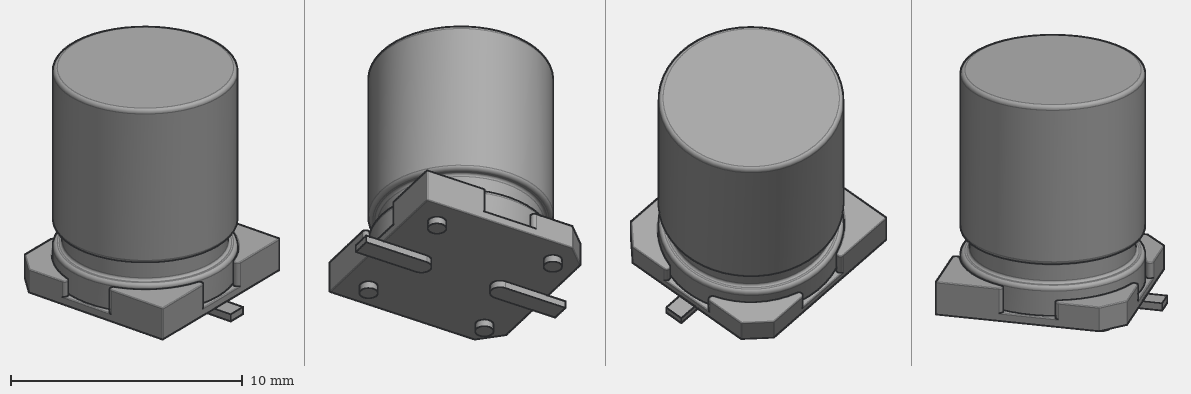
import cadquery as cq
import math

total_height = 10.6
lead_span = 10.0

base_width = 8.3
base_half = base_width / 2
base_bottom = 0.35
floor_height = 0.75
low_post_height = 1.5
high_post_height = 1.91
corner_cut = 1.0
post_bore_radius = 4.03
post_nose_radius = 0.17
base_edge_fillet = 0.04

can_radius = 8.0 / 2
groove_radius = 7.2 / 2
groove_bottom = 2.11
groove_top = 3.11
can_edge_fillet = 0.19
groove_corner_fillet = 0.13

lead_width = 0.88
lead_inner_end = 1.54
pin_diameter = 0.8
pin_offset = 2.9


def corner_post(side_x, side_y):
    """Post between the base corner and the can bore, with a round nose at each end."""
    nose_reach = post_bore_radius + post_nose_radius
    nose_across = base_half - post_nose_radius
    nose_along = math.sqrt(nose_reach**2 - nose_across**2)
    tangent_long = nose_across * post_bore_radius / nose_reach
    tangent_short = nose_along * post_bore_radius / nose_reach
    bore_mid = post_bore_radius * math.sqrt(0.5)

    tip_along = nose_along - post_nose_radius
    tip_across = nose_across

    def at(x, y):
        """Mirror a point of the +X +Y post into this post's quadrant."""
        return (side_x * x, side_y * y)

    bottom = (base_bottom + floor_height) / 2
    top = high_post_height if side_x > 0 else low_post_height
    post = (
        cq.Workplane("XY")
        .workplane(offset=bottom)
        .moveTo(*at(base_half, base_half))
        .lineTo(*at(nose_along, base_half))
        .threePointArc(at(tip_along, tip_across), at(tangent_short, tangent_long))
        .threePointArc(at(bore_mid, bore_mid), at(tangent_long, tangent_short))
        .threePointArc(at(tip_across, tip_along), at(base_half, nose_along))
        .close()
        .extrude(top - bottom)
    )
    box_inner = base_half - corner_cut - base_edge_fillet
    box_outer = base_half + base_edge_fillet
    corner_box = cq.selectors.BoxSelector(
        (*at(box_inner, box_inner), bottom),
        (*at(box_outer, box_outer), top),
    )
    if side_x < 0:
        post = post.edges("|Z").edges(corner_box).chamfer(corner_cut)
    post = post.edges("|Z").edges(corner_box).fillet(base_edge_fillet)
    return post.faces(">Z").edges().fillet(base_edge_fillet)


def base_floor():
    """Bottom plate with cut -X corners and all its edges softened."""
    return (
        cq.Workplane("XY")
        .workplane(offset=base_bottom)
        .rect(base_width, base_width)
        .extrude(floor_height - base_bottom)
        .edges("|Z and <X")
        .chamfer(corner_cut)
        .edges()
        .fillet(base_edge_fillet)
    )


def make_base():
    """Floor plate with low posts on the -X side and high posts on the +X side."""
    base = base_floor()
    for side_x in (-1, 1):
        for side_y in (-1, 1):
            base = base.union(corner_post(side_x, side_y))
    return base


def make_can():
    """Foot ring and body with rounded rims, joined by a narrower neck."""
    foot = (
        cq.Workplane("XY")
        .workplane(offset=floor_height)
        .circle(can_radius)
        .extrude(groove_bottom - floor_height)
        .edges(">Z")
        .fillet(can_edge_fillet)
    )
    body = (
        cq.Workplane("XY")
        .workplane(offset=groove_top)
        .circle(can_radius)
        .extrude(total_height - groove_top)
        .edges("%CIRCLE")
        .fillet(can_edge_fillet)
    )
    return foot.union(make_neck()).union(body)


def make_neck():
    """Groove core that flares out in a fillet against each groove wall."""
    flare_radius = groove_radius + groove_corner_fillet
    flare_mid_step = groove_corner_fillet * (1 - math.sqrt(0.5))
    flare_mid_radius = groove_radius + flare_mid_step
    return (
        cq.Workplane("XZ")
        .moveTo(0, groove_bottom)
        .lineTo(flare_radius, groove_bottom)
        .threePointArc(
            (flare_mid_radius, groove_bottom + flare_mid_step),
            (groove_radius, groove_bottom + groove_corner_fillet),
        )
        .lineTo(groove_radius, groove_top - groove_corner_fillet)
        .threePointArc(
            (flare_mid_radius, groove_top - flare_mid_step),
            (flare_radius, groove_top),
        )
        .lineTo(0, groove_top)
        .close()
        .revolve(360, (0, 0, 0), (0, 1, 0))
    )


def make_lead(side_x):
    """Flat lead with a rounded inner end, running out past the base."""
    half_width = lead_width / 2
    straight_start = side_x * (lead_inner_end + half_width)
    outer_end = side_x * lead_span / 2
    return (
        cq.Workplane("XY")
        .moveTo(outer_end, -half_width)
        .lineTo(straight_start, -half_width)
        .threePointArc((side_x * lead_inner_end, 0), (straight_start, half_width))
        .lineTo(outer_end, half_width)
        .close()
        .extrude(base_bottom)
    )


def make_pins():
    """Four short support pins, one under each corner of the base."""
    spacing = 2 * pin_offset
    return (
        cq.Workplane("XY")
        .rect(spacing, spacing, forConstruction=True)
        .vertices()
        .circle(pin_diameter / 2)
        .extrude(base_bottom)
    )


result = make_base().union(make_can()).union(make_pins())
for side in (-1, 1):
    result = result.union(make_lead(side))